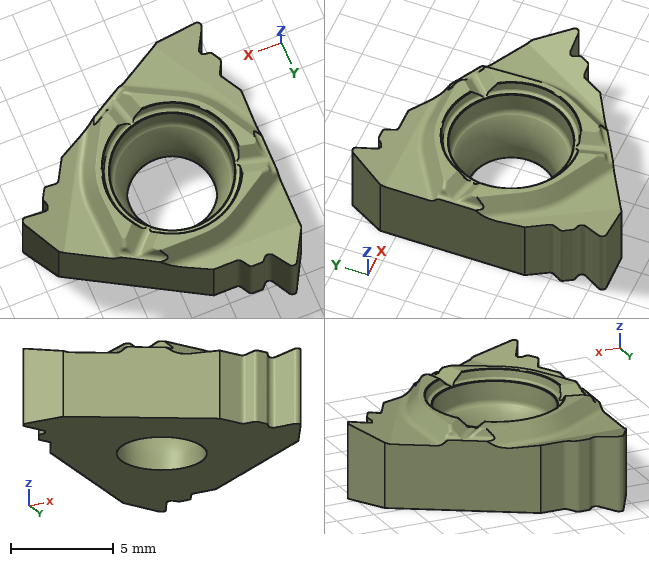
import cadquery as cq
import math


CORNERS = 3
CORNER_ANGLE = 360 / CORNERS
INSCRIBED_CIRCLE = 9.525
SIDE = INSCRIBED_CIRCLE / 2
OVERALL_HEIGHT = 4.2
FLOOR_Z = 3.38
BLANK_RADIUS = 9.0

FLANK_START_Y = 4.97
LEADING_FLANK_ANGLE = 61.2
TRAILING_FLANK_ANGLE = 60.0
TIP_X = -3.575
ROOT_Y = 5.78
ROOT_WIDTH = 0.27
CREST_RISE_ANGLE = 51.0
CREST_Y = 6.08
CREST_WIDTH = 0.655
SHOULDER_Y = 5.455
TIP_RADIUS = 0.225
CREST_RADIUS = 0.2
VALLEY_RADIUS = 0.25

RAKE_START_Y = 4.72
RAKE_ANGLE = 15.0
RAKE_BLEND_RADIUS = 0.3

BOSS_RADIUS = 3.74
BOSS_TURN = 32.0
BOSS_DRAFT = 39.0
BOSS_FOOT_RADIUS = 0.43

LEDGE_Z = 3.70
LEDGE_WIDTH = 0.09
LEDGE_RADIUS = 0.24
LEDGE_WALL_LEAN = 17.0
LEDGE_LENGTH = 4.0

GROOVE_ANGLE = 45.7
GROOVE_Z = 3.71
GROOVE_FLOOR_WIDTH = 0.26
GROOVE_LEFT_SLOPE = 42.0
GROOVE_RIGHT_SLOPE = 38.0
GROOVE_RADIUS = 0.28
GROOVE_START = 2.5
GROOVE_LENGTH = 3.5
GROOVE_END_RADIUS = 0.2
GROOVE_END_REACH = 10.0

HOLE_RADIUS = 4.4 / 2
HOLE_TOP_Z = 0.84
SEAT_RADIUS = 2.83
SEAT_TOP_Z = 2.46
WELL_FOOT_RADIUS = 3.0
WELL_FOOT_Z = 2.77
WELL_RADIUS = 3.06
STEP_Z = 3.72
STEP_RADIUS = 3.31
STEP_BLEND = 0.14
RIM_RADIUS = 3.42
EDGE_ROUNDING = 0.04

LEVEL_TOLERANCE = 0.01
OVERSHOOT = 1.0


def tan_deg(angle):
    return math.tan(math.radians(angle))


def polar(radius, angle):
    return radius * math.cos(math.radians(angle)), radius * math.sin(math.radians(angle))


def turned(point, angle):
    """Point rotated about the Z axis."""
    x, y = point
    return polar(math.hypot(x, y), math.degrees(math.atan2(y, x)) + angle)


def level_slice(reach, z):
    """Selector for everything lying flat at height z within reach of the axis."""
    return cq.selectors.BoxSelector(
        (-reach, -reach, z - LEVEL_TOLERANCE), (reach, reach, z + LEVEL_TOLERANCE), boundingbox=True
    )


def repeated(shape):
    """The three copies of a shape around the Z axis, as a list."""
    return [shape.rotate((0, 0, 0), (0, 0, 1), i * CORNER_ANGLE) for i in range(CORNERS)]


def tooth_points():
    """Sharp points of one corner, from its leading long side to the next long side."""
    tip_y = FLANK_START_Y + (TIP_X + SIDE) * tan_deg(LEADING_FLANK_ANGLE)
    root_x = TIP_X + (tip_y - ROOT_Y) / tan_deg(TRAILING_FLANK_ANGLE)
    rise_x = root_x + ROOT_WIDTH
    crest_x = rise_x + (CREST_Y - ROOT_Y) / tan_deg(CREST_RISE_ANGLE)
    crest_end_x = crest_x + CREST_WIDTH
    shoulder_x = crest_end_x + (CREST_Y - SHOULDER_Y) / tan_deg(TRAILING_FLANK_ANGLE)
    side_angle = CORNER_ANGLE / 2
    normal_x, normal_y = polar(1, side_angle)
    side_x = (SIDE - SHOULDER_Y * normal_y) / normal_x
    return {
        "flank": (-SIDE, FLANK_START_Y),
        "tip": (TIP_X, tip_y),
        "root": (root_x, ROOT_Y),
        "rise": (rise_x, ROOT_Y),
        "crest": (crest_x, CREST_Y),
        "crest_end": (crest_end_x, CREST_Y),
        "shoulder": (shoulder_x, SHOULDER_Y),
        "side": (side_x, SHOULDER_Y),
    }


def rounded_corners(prism, point, radius):
    """Round the upright edges of the prism at a profile point of every corner."""
    for i in range(CORNERS):
        x, y = turned(point, -i * CORNER_ANGLE)
        edge = cq.selectors.NearestToPointSelector((x, y, OVERALL_HEIGHT / 2))
        prism = prism.edges("|Z").edges(edge).fillet(radius)
    return prism


def outline_prism():
    tooth = tooth_points()
    outline = [turned(p, -i * CORNER_ANGLE) for i in range(CORNERS) for p in tooth.values()]
    prism = cq.Workplane("XY").polyline(outline).close().extrude(OVERALL_HEIGHT)
    prism = rounded_corners(prism, tooth["tip"], TIP_RADIUS)
    for name in ("crest", "crest_end"):
        prism = rounded_corners(prism, tooth[name], CREST_RADIUS)
    for name in ("root", "rise", "shoulder"):
        prism = rounded_corners(prism, tooth[name], VALLEY_RADIUS)
    return prism


def boss_outline():
    """Top outline of the boss: arcs about the axis joined by tangent straights."""
    start_angle = 90 + BOSS_TURN
    half_gap = (CORNER_ANGLE - BOSS_TURN) / 2
    corner_radius = BOSS_RADIUS / math.cos(math.radians(half_gap))
    outline = cq.Workplane("XY").workplane(offset=OVERALL_HEIGHT).moveTo(*polar(BOSS_RADIUS, 90))
    for i in range(CORNERS):
        turn = i * CORNER_ANGLE
        outline = outline.threePointArc(
            polar(BOSS_RADIUS, 90 + BOSS_TURN / 2 + turn), polar(BOSS_RADIUS, start_angle + turn)
        )
        outline = outline.lineTo(*polar(corner_radius, start_angle + half_gap + turn))
        if i < CORNERS - 1:
            outline = outline.lineTo(*polar(BOSS_RADIUS, 90 + turn + CORNER_ANGLE))
    return outline.close()


def blank():
    """Disc with the drafted boss on top, blended at its foot."""
    disc = cq.Workplane("XY").circle(BLANK_RADIUS).extrude(FLOOR_Z)
    boss = boss_outline().extrude(-(OVERALL_HEIGHT - FLOOR_Z), taper=-BOSS_DRAFT)
    foot = level_slice(BLANK_RADIUS - OVERSHOOT, FLOOR_Z)
    return disc.union(boss).edges(foot).fillet(BOSS_FOOT_RADIUS)


def rake_wedge():
    """Material under the rake face, which climbs towards the tip."""
    end_y = BLANK_RADIUS
    tangent = RAKE_BLEND_RADIUS * tan_deg(RAKE_ANGLE / 2)
    blend_start_y = RAKE_START_Y - tangent

    def blend_point(angle):
        return (
            blend_start_y + RAKE_BLEND_RADIUS * math.sin(math.radians(angle)),
            FLOOR_Z + RAKE_BLEND_RADIUS * (1 - math.cos(math.radians(angle))),
        )

    return (
        cq.Workplane("YZ")
        .moveTo(blend_start_y, 0)
        .lineTo(blend_start_y, FLOOR_Z)
        .threePointArc(blend_point(RAKE_ANGLE / 2), blend_point(RAKE_ANGLE))
        .lineTo(end_y, FLOOR_Z + (end_y - RAKE_START_Y) * tan_deg(RAKE_ANGLE))
        .lineTo(end_y, 0)
        .close()
        .extrude(BLANK_RADIUS, both=True)
    )


def ledge_cutter():
    """Cutter for the ledge along the long side that faces +X, turned to its place."""
    turn = 90 - LEDGE_WALL_LEAN
    arc_start = SIDE - LEDGE_WIDTH

    def arc_point(angle):
        return (
            arc_start - LEDGE_RADIUS * math.sin(math.radians(angle)),
            LEDGE_Z + LEDGE_RADIUS * (1 - math.cos(math.radians(angle))),
        )

    top_z = OVERALL_HEIGHT + OVERSHOOT
    wall_x, wall_z = arc_point(turn)
    cutter = (
        cq.Workplane("XZ")
        .moveTo(SIDE + OVERSHOOT, LEDGE_Z)
        .lineTo(arc_start, LEDGE_Z)
        .threePointArc(arc_point(turn / 2), (wall_x, wall_z))
        .lineTo(wall_x - (top_z - wall_z) * tan_deg(LEDGE_WALL_LEAN), top_z)
        .lineTo(SIDE + OVERSHOOT, top_z)
        .close()
        .extrude(LEDGE_LENGTH / 2, both=True)
    )
    side_angle = CORNER_ANGLE / 2
    along_side = -SIDE * tan_deg(side_angle - GROOVE_ANGLE)
    return cutter.translate((0, along_side, 0)).rotate((0, 0, 0), (0, 0, 1), side_angle)


def groove_cutter():
    """V-groove with a rounded bottom, running outwards along +X, turned to its place."""
    top_z = OVERALL_HEIGHT + OVERSHOOT
    floor_half = GROOVE_FLOOR_WIDTH / 2
    left_y = floor_half + (top_z - GROOVE_Z) / tan_deg(GROOVE_LEFT_SLOPE)
    right_y = -floor_half - (top_z - GROOVE_Z) / tan_deg(GROOVE_RIGHT_SLOPE)
    section = [(right_y, top_z), (-floor_half, GROOVE_Z), (floor_half, GROOVE_Z), (left_y, top_z)]
    cutter = (
        cq.Workplane("YZ")
        .workplane(offset=GROOVE_START)
        .polyline(section)
        .close()
        .extrude(GROOVE_LENGTH)
        .edges("|X and <Z")
        .fillet(GROOVE_RADIUS)
    )
    return cutter.rotate((0, 0, 0), (0, 0, 1), GROOVE_ANGLE)


def upright_arc_mid(start, end):
    """Middle of the arc that leaves start vertically and reaches end."""
    step = end[0] - start[0]
    rise = end[1] - start[1]
    curve = (rise**2 + step**2) / (2 * step)
    half_sweep = math.asin(rise / curve) / 2
    return start[0] + curve * (1 - math.cos(half_sweep)), start[1] + curve * math.sin(half_sweep)


def screw_seat_cutter():
    """Hole, rounded seat, well and flared rim as one turned shape."""
    seat_mid = upright_arc_mid((HOLE_RADIUS, HOLE_TOP_Z), (SEAT_RADIUS, SEAT_TOP_Z))
    blend_mid = upright_arc_mid((WELL_FOOT_RADIUS, WELL_FOOT_Z), (SEAT_RADIUS, SEAT_TOP_Z))
    cutter = (
        cq.Workplane("XZ")
        .moveTo(0, -OVERSHOOT)
        .lineTo(HOLE_RADIUS, -OVERSHOOT)
        .lineTo(HOLE_RADIUS, HOLE_TOP_Z)
        .threePointArc(seat_mid, (SEAT_RADIUS, SEAT_TOP_Z))
        .threePointArc(blend_mid, (WELL_FOOT_RADIUS, WELL_FOOT_Z))
        .lineTo(WELL_RADIUS, STEP_Z)
        .lineTo(STEP_RADIUS, STEP_Z)
        .lineTo(RIM_RADIUS, OVERALL_HEIGHT)
        .lineTo(RIM_RADIUS, OVERALL_HEIGHT + OVERSHOOT)
        .lineTo(0, OVERALL_HEIGHT + OVERSHOOT)
        .close()
        .revolve(360, (0, 0, 0), (0, 1, 0))
    )
    step = level_slice(RIM_RADIUS, STEP_Z)
    outer_ring = cutter.edges(step).edges(cq.selectors.RadiusNthSelector(-1)).val()
    cutter = cutter.newObject([outer_ring]).fillet(STEP_BLEND)
    inner_ring = cutter.edges(step).edges(cq.selectors.RadiusNthSelector(0)).val()
    return cutter.newObject([inner_ring]).fillet(EDGE_ROUNDING)


def is_groove_end(edge):
    """True for the sloping straight edges where groove walls meet a ledge or the boss flank."""
    middle = edge.positionAt(0.5)
    start_z, end_z = edge.startPoint().z, edge.endPoint().z
    turn = (math.degrees(math.atan2(middle.y, middle.x)) - GROOVE_ANGLE) % CORNER_ANGLE
    beside_groove = min(turn, CORNER_ANGLE - turn) < GROOVE_END_REACH
    outside = math.hypot(middle.x, middle.y) > BOSS_RADIUS
    sloping = abs(start_z - end_z) > EDGE_ROUNDING and min(start_z, end_z) > LEDGE_Z
    return edge.geomType() == "LINE" and sloping and beside_groove and outside


body = blank()
for wedge in repeated(rake_wedge()):
    body = body.union(wedge)
body = body.intersect(outline_prism())
for cutter in repeated(ledge_cutter()) + repeated(groove_cutter()):
    body = body.cut(cutter)
groove_ends = [edge for edge in body.edges().vals() if is_groove_end(edge)]
body = body.newObject(groove_ends).fillet(GROOVE_END_RADIUS)
body = body.cut(screw_seat_cutter())
result = body.faces(level_slice(BLANK_RADIUS, OVERALL_HEIGHT)).edges().fillet(EDGE_ROUNDING)